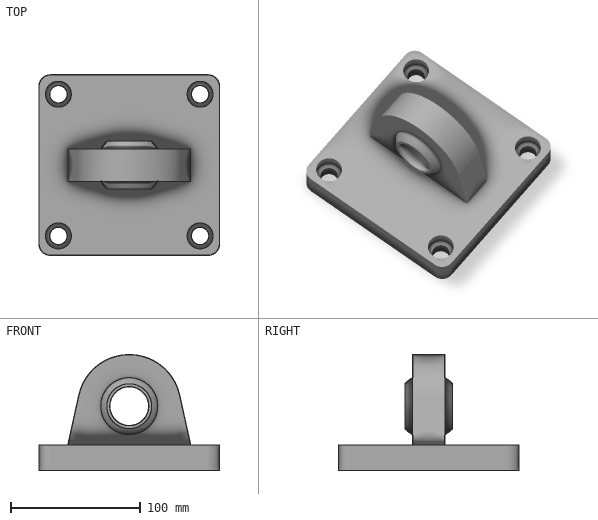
import cadquery as cq
import math

plate_side = 140.0
plate_thickness = 20.0
corner_radius = 9.1

hole_pitch = 109.8
hole_diameter = 13.5
counterbore_diameter = 20.0
counterbore_depth = 10.0

total_height = 90.0
eye_height = 50.0
lug_foot_width = 95.2
lug_thickness = 25.0
lug_radius = total_height - eye_height

ball_diameter = 50.8
ball_width = 37.1
bore_diameter = 30.0


def truncated_ball():
    """Sphere centred on the eye, cut flat at both ends along Y."""
    sphere = cq.Workplane("XY").sphere(ball_diameter / 2)
    slab = cq.Workplane("XY").box(ball_diameter, ball_width, ball_diameter)
    return sphere.intersect(slab).translate((0, 0, eye_height))


def make_plate():
    plate = (
        cq.Workplane("XY")
        .rect(plate_side, plate_side)
        .extrude(plate_thickness)
        .edges("|Z")
        .fillet(corner_radius)
    )
    return (
        plate.faces(">Z")
        .workplane()
        .rect(hole_pitch, hole_pitch, forConstruction=True)
        .vertices()
        .cboreHole(hole_diameter, counterbore_diameter, counterbore_depth)
    )


def make_lug():
    """Round-topped lug whose straight flanks are tangent to the top arc."""
    half_foot = lug_foot_width / 2
    eye_above_plate = eye_height - plate_thickness
    foot_distance = math.hypot(half_foot, eye_above_plate)
    tangent_angle = math.acos(lug_radius / foot_distance) - math.atan2(eye_above_plate, half_foot)
    tangent_x = lug_radius * math.cos(tangent_angle)
    tangent_z = eye_height + lug_radius * math.sin(tangent_angle)
    return (
        cq.Workplane("XZ")
        .moveTo(-half_foot, plate_thickness)
        .lineTo(half_foot, plate_thickness)
        .lineTo(tangent_x, tangent_z)
        .threePointArc((0, total_height), (-tangent_x, tangent_z))
        .close()
        .extrude(lug_thickness / 2, both=True)
    )


def make_bracket():
    """Plate and lug in one piece, with a spherical seat for the ball."""
    return make_plate().union(make_lug()).cut(truncated_ball())


def make_ball():
    bore = (
        cq.Workplane("XZ")
        .center(0, eye_height)
        .circle(bore_diameter / 2)
        .extrude(ball_width, both=True)
    )
    return truncated_ball().cut(bore)


bracket = make_bracket()
ball = make_ball()

result = cq.Compound.makeCompound([bracket.val(), ball.val()])